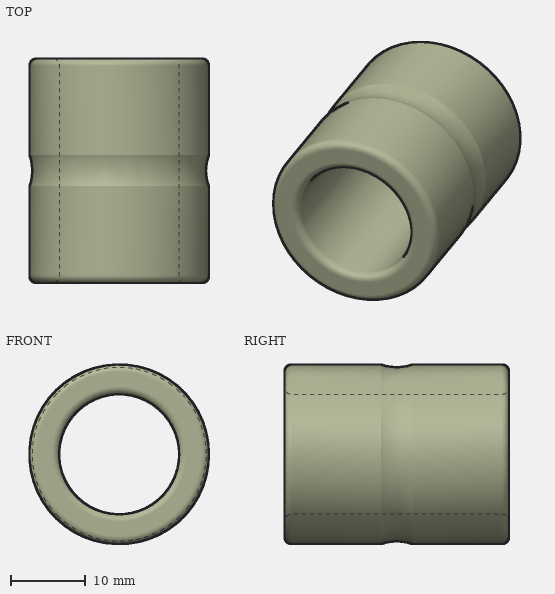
import cadquery as cq

length = 30.0
outer_diameter = 24.0
bore_diameter = 16.0
rim_radius = 1.0
groove_width = 4.15
groove_depth = 0.4

outer_radius = outer_diameter / 2
bore_radius = bore_diameter / 2
half_length = length / 2
half_groove = groove_width / 2


def make_sleeve():
    """Hollow cylinder centred on the origin, with all four rims rounded."""
    sleeve = (
        cq.Workplane("XZ")
        .circle(outer_radius)
        .circle(bore_radius)
        .extrude(half_length, both=True)
    )
    return sleeve.faces("<Y or >Y").edges().fillet(rim_radius)


def make_groove():
    """Ring bounded inside by a circular arc, removed to leave the groove."""
    ring_outer_radius = outer_radius + groove_depth
    return (
        cq.Workplane("XY")
        .moveTo(outer_radius, -half_groove)
        .threePointArc((outer_radius - groove_depth, 0), (outer_radius, half_groove))
        .lineTo(ring_outer_radius, half_groove)
        .lineTo(ring_outer_radius, -half_groove)
        .close()
        .revolve(360, (0, 0, 0), (0, 1, 0))
    )


result = make_sleeve().cut(make_groove())